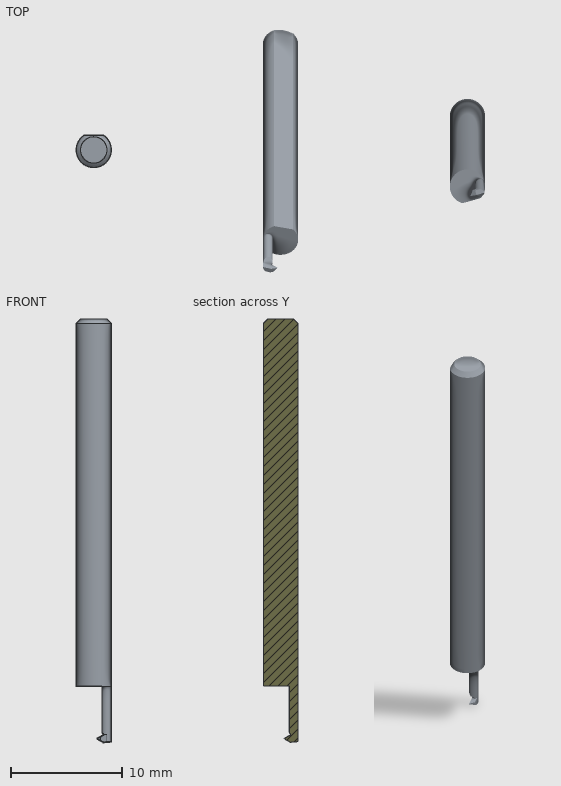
import cadquery as cq
import math

overall_length = 38.1
shank_diameter = 3.175
shank_radius = shank_diameter / 2
flat_distance = 1.3325
shank_chamfer = 0.4
neck_length = 5.08

neck_diameter = 0.86
neck_radius = neck_diameter / 2
neck_center_x = shank_radius - neck_radius
neck_left_x = neck_center_x - neck_radius
rake_height = 0.82

gullet_depth = 0.12
gullet_x = neck_left_x + gullet_depth
gullet_top = 0.92

point_angle = 60
tip_x = 0.27
tip_height = 0.37
tip_flat = 0.05
flank_slope = math.tan(math.radians(point_angle / 2))
heel_x = tip_x + (tip_height - tip_flat / 2) / flank_slope
shoulder_height = tip_height + tip_flat / 2 + (gullet_x - tip_x) * flank_slope

nose_clearance = 38
flank_clearance = 9
end_clearance = 10
end_dish = 5

cutter_size = 2.0


def make_shank():
    """Round bar with a chamfered top end and a flat along its +Y side."""
    bar = (
        cq.Workplane("XY")
        .workplane(offset=neck_length)
        .circle(shank_radius)
        .extrude(overall_length - neck_length)
        .faces(">Z")
        .chamfer(shank_chamfer)
    )
    flat_cutter = (
        cq.Workplane("XY")
        .box(shank_diameter, shank_diameter, overall_length, centered=(True, False, False))
        .translate((0, flat_distance, 0))
    )
    return bar.cut(flat_cutter)


def make_neck():
    """Rod with its +Y half removed at the tip and a gullet above the tooth."""
    rod = cq.Workplane("XY").center(neck_center_x, 0).circle(neck_radius).extrude(neck_length)

    rake_cutter = (
        cq.Workplane("YZ")
        .moveTo(0, 0)
        .lineTo(0, rake_height)
        .lineTo(cutter_size, rake_height + cutter_size)
        .lineTo(cutter_size, 0)
        .close()
        .extrude(cutter_size)
    )
    gullet_cutter = (
        cq.Workplane("XZ")
        .moveTo(gullet_x, 0)
        .lineTo(gullet_x, gullet_top - gullet_depth)
        .lineTo(neck_left_x, gullet_top)
        .lineTo(neck_left_x, 0)
        .close()
        .extrude(cutter_size, both=True)
    )
    return rod.cut(rake_cutter).cut(gullet_cutter)


def tooth_profile(depth):
    """Tooth outline in the XZ plane, at a depth toward -Y from the rake plane."""
    nose_x = tip_x + depth * math.tan(math.radians(nose_clearance))
    flank_relief = depth * math.tan(math.radians(flank_clearance))
    half_height = tip_flat / 2 + (nose_x - tip_x) * flank_slope - flank_relief
    shoulder_x = gullet_x + flank_relief / flank_slope
    heel_relieved_x = heel_x + flank_relief / flank_slope
    return (
        cq.Workplane("XZ", origin=(0, -depth, 0))
        .moveTo(nose_x, tip_height + half_height)
        .lineTo(shoulder_x, shoulder_height)
        .lineTo(neck_center_x, shoulder_height)
        .lineTo(neck_center_x, 0)
        .lineTo(heel_relieved_x, 0)
        .lineTo(nose_x, tip_height - half_height)
        .close()
        .wires()
        .val()
    )


def make_tooth():
    """Pointed tooth tapering from the rake plane to the -Y side of the neck."""
    outlines = [tooth_profile(0), tooth_profile(neck_radius)]
    return cq.Workplane(cq.Solid.makeLoft(outlines, True))


def make_end_cutter():
    """Block whose top face slopes up from the heel point toward +X and -Y."""
    return (
        cq.Workplane("XY")
        .box(2 * cutter_size, 2 * cutter_size, cutter_size)
        .translate((0, 0, -cutter_size / 2))
        .rotate((0, 0, 0), (0, 1, 0), -end_dish)
        .rotate((0, 0, 0), (1, 0, 0), -end_clearance)
        .translate((heel_x, 0, 0))
    )


cutting_end = make_neck().union(make_tooth()).cut(make_end_cutter())
result = make_shank().union(cutting_end)